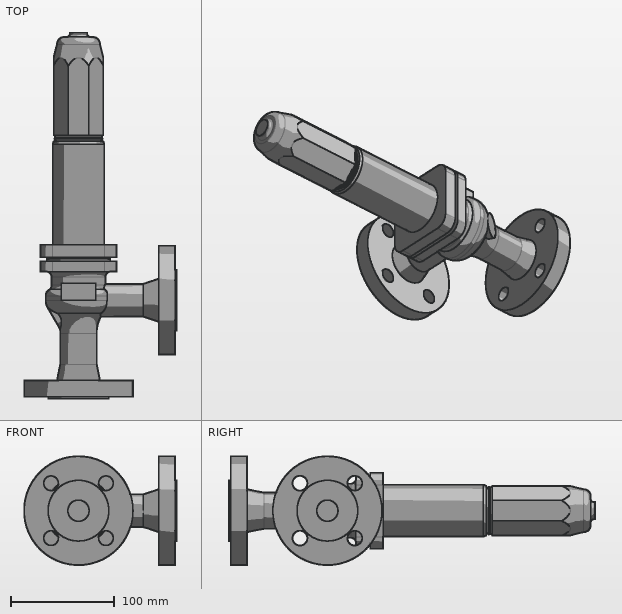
import cadquery as cq
import math


valve_length = 352.7

center_to_face = 95.0
flange_radius = 52.5
flange_thickness = 16.0
face_radius = 29.3
face_height = 1.8
port_radius = 10.2
port_depth = 1.8
bolt_count = 4
first_bolt_angle = 45
bolt_circle_radius = 37.5
bolt_hole_radius = 7.0
flange_back = center_to_face - face_height - flange_thickness

inlet_radius = 17.5
outlet_radius = 16.0
neck_end_radius = 20.8
inlet_neck_start = 61.5
outlet_neck_start = 62.5

bulge_radius = 31.7
bulge_top = 4.2
bulge_waist_radius = 27.5
bulge_waist_top = 10.5
body_neck_radius = 26.0
body_neck_bottom = 14.8
body_shoulder = 5.0
bulge_lower_radius = 23.3
bulge_lower_end = -12.7
inlet_pipe_top = -31.7

plate_side = 73.5
lower_plate_bottom = 27.5
lower_plate_top = 37.7
upper_plate_bottom = 41.3
upper_plate_top = 53.5
ring_radius = 30.7
ring_step_radius = 28.2
ring_step = 40.0

bonnet_radius = 25.0
bonnet_top = 153.0
bonnet_chamfer_height = 2.8
bonnet_chamfer_width = 1.0
plate_corner_radius = plate_side / 2 - bonnet_radius

thread_root_radius = 21.0
thread_crest_radius = 23.3
thread_crest = 155.5
thread_relief_radius = 22.2
thread_relief = 156.5

cap_sides = 8
cap_bottom = 158.7
cap_flat_radius = 24.0
cap_corner_radius = cap_flat_radius / math.cos(math.pi / cap_sides)
cap_corner_top = 225.7
crown_radius = 20.8
crown_bottom = 246.5
crown_top_radius = 14.8
crown_top = 253.5
button_radius = 8.5
button_fillet = 2.8
valve_top = valve_length - center_to_face

pad_length = 33.0
pad_width = 16.2
pad_top = 35.3

boss_radius = 12.5
boss_angle = 30
boss_axis_y = -3.5
boss_reach = 27.5


def blend_radius(radial, axial):
    """Radius of an arc that spans these steps and starts parallel to the axis."""
    return (radial**2 + axial**2) / (2 * abs(radial))


def revolve_about_y(profile):
    return profile.close().revolve(360, (0, 0, 0), (0, 1, 0))


def make_pipe(radius, neck_start):
    """Pipe, neck and flange running along +X from the origin."""
    face_start = flange_back + flange_thickness
    pipe = (
        cq.Workplane("XY")
        .lineTo(0, radius)
        .lineTo(neck_start, radius)
        .lineTo(flange_back, neck_end_radius)
        .lineTo(flange_back, flange_radius)
        .lineTo(face_start, flange_radius)
        .lineTo(face_start, face_radius)
        .lineTo(center_to_face, face_radius)
        .lineTo(center_to_face, port_radius)
        .lineTo(center_to_face - port_depth, port_radius)
        .lineTo(center_to_face - port_depth, 0)
        .close()
        .revolve(360, (0, 0, 0), (1, 0, 0))
    )
    holes = (
        cq.Workplane("YZ", origin=(flange_back, 0, 0))
        .polarArray(bolt_circle_radius, first_bolt_angle, 360, bolt_count)
        .circle(bolt_hole_radius)
        .extrude(flange_thickness)
    )
    return pipe.cut(holes)


def make_body():
    """Bulged body between the lower plate and the inlet pipe."""
    lower_blend = blend_radius(bulge_lower_radius - inlet_radius, bulge_lower_end - inlet_pipe_top)
    waist_blend = blend_radius(bulge_waist_radius - body_neck_radius, body_neck_bottom - bulge_waist_top)
    profile = (
        cq.Workplane("XY")
        .moveTo(0, inlet_pipe_top)
        .lineTo(inlet_radius, inlet_pipe_top)
        .radiusArc((bulge_lower_radius, bulge_lower_end), lower_blend)
        .radiusArc(
            (bulge_radius, 0),
            -blend_radius(bulge_radius - bulge_lower_radius, bulge_lower_end),
        )
        .lineTo(bulge_radius, bulge_top)
        .tangentArcPoint((bulge_waist_radius, bulge_waist_top), relative=False)
        .radiusArc((body_neck_radius, body_neck_bottom), waist_blend)
        .lineTo(body_neck_radius, lower_plate_bottom - body_shoulder)
        .tangentArcPoint((body_shoulder, body_shoulder))
        .lineTo(0, lower_plate_bottom)
    )
    return revolve_about_y(profile)


def make_plate(bottom, top):
    return (
        cq.Workplane("XY")
        .box(plate_side, top - bottom, plate_side)
        .edges("|Y")
        .fillet(plate_corner_radius)
        .translate((0, (bottom + top) / 2, 0))
    )


def make_bonnet():
    """Ring between the plates, bonnet cylinder and thread runout."""
    profile = (
        cq.Workplane("XY")
        .moveTo(0, lower_plate_bottom)
        .lineTo(ring_radius, lower_plate_bottom)
        .lineTo(ring_radius, ring_step)
        .lineTo(ring_step_radius, ring_step)
        .lineTo(ring_step_radius, upper_plate_bottom)
        .lineTo(bonnet_radius, upper_plate_bottom)
        .lineTo(bonnet_radius, bonnet_top - bonnet_chamfer_height)
        .lineTo(bonnet_radius - bonnet_chamfer_width, bonnet_top)
        .lineTo(thread_root_radius, bonnet_top)
        .lineTo(thread_crest_radius, thread_crest)
        .lineTo(thread_relief_radius, thread_relief)
        .lineTo(thread_crest_radius, cap_bottom)
        .lineTo(0, cap_bottom)
    )
    return revolve_about_y(profile)


def make_cap():
    """Octagonal prism trimmed by a domed and tapered envelope."""
    profile = (
        cq.Workplane("XY")
        .moveTo(0, cap_bottom)
        .lineTo(cap_corner_radius, cap_bottom)
        .lineTo(cap_corner_radius, cap_corner_top)
        .lineTo(crown_radius, crown_bottom)
        .radiusArc((crown_top_radius, crown_top), -(crown_top - crown_bottom))
        .lineTo(button_radius + button_fillet, crown_top)
        .radiusArc((button_radius, crown_top + button_fillet), button_fillet)
        .lineTo(button_radius, valve_top)
        .lineTo(0, valve_top)
    )
    prism = (
        cq.Workplane("XZ", origin=(0, cap_bottom, 0))
        .transformed(rotate=(0, 0, 180 / cap_sides))
        .polygon(cap_sides, 2 * cap_corner_radius)
        .extrude(cap_bottom - valve_top)
    )
    return revolve_about_y(profile).intersect(prism)


def make_pad():
    return cq.Workplane("XY").box(pad_length, pad_width, pad_top, centered=(True, False, False))


def make_boss():
    slant = math.radians(boss_angle)
    direction = cq.Vector(-math.cos(slant), -math.sin(slant), 0)
    start = cq.Vector(0, boss_axis_y, 0)
    return cq.Workplane(cq.Solid.makeCylinder(boss_radius, boss_reach, start, direction))


inlet = make_pipe(inlet_radius, inlet_neck_start).rotate((0, 0, 0), (0, 0, 1), -90)
outlet = make_pipe(outlet_radius, outlet_neck_start)

result = (
    make_body()
    .union(inlet)
    .union(outlet)
    .union(make_boss())
    .union(make_pad())
    .union(make_bonnet())
    .union(make_plate(lower_plate_bottom, lower_plate_top))
    .union(make_plate(upper_plate_bottom, upper_plate_top))
    .union(make_cap())
)